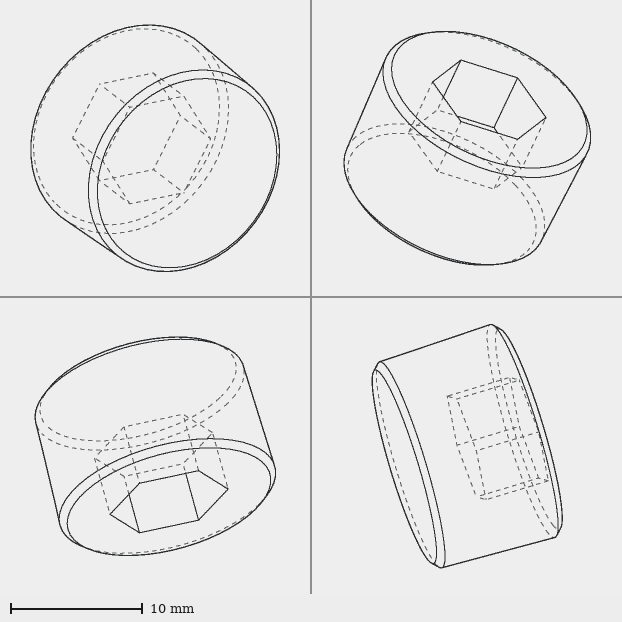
import cadquery as cq
import math

length = 10.0
wide_diameter = 16.94
chamfer = 0.5
taper = 1 / 16
socket_across_flats = 8.0
socket_depth = 5.0

wide_radius = wide_diameter / 2
taper_length = length - 2 * chamfer
narrow_radius = wide_radius - taper_length * taper / 2


def make_body():
    """Revolve the tapered half profile, chamfered at both ends, about X."""
    profile = [
        (0, 0),
        (0, wide_radius - chamfer),
        (chamfer, wide_radius),
        (length - chamfer, narrow_radius),
        (length, narrow_radius - chamfer),
        (length, 0),
    ]
    return cq.Workplane("XY").polyline(profile).close().revolve(360, (0, 0, 0), (1, 0, 0))


def make_socket():
    """Blind hexagon with corners on the Y axis and flats facing +Z and -Z."""
    across_corners = socket_across_flats / math.cos(math.pi / 6)
    return cq.Workplane("YZ").polygon(6, across_corners).extrude(socket_depth)


result = make_body().cut(make_socket())